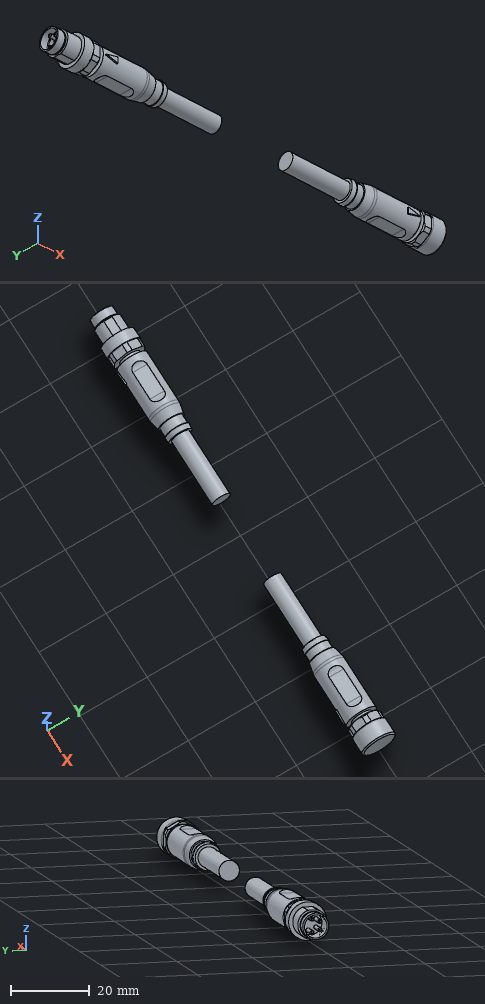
import cadquery as cq
import math

overall_length = 135.5

grip_diameter = 10.0
hex_across_flats = 9.1
hex_corner_diameter = 9.8
neck_diameter = 6.0

nose_end = 3.0
nose_diameter = 6.9
nose_groove_width = 0.4
nose_groove_diameter = 6.5
sleeve_diameter = 7.9
sleeve_across_flats = 7.5
plug_grip_start = 7.9
plug_grip_end = 11.1
plug_hex_end = 13.7
plug_mould_start = 14.9
plug_cable_end = 58.4
plug_waist_length = 2.8

bore_diameter = 6.0
bore_depth = 5.0
pin_diameter = 1.1
pin_tip_chamfer = 0.3
pin_tip_setback = 0.8
pin_places = [(0.7, 1.8), (0.7, -1.8), (-1.4, 1.1), (-1.4, -1.1)]

socket_grip_length = 5.1
socket_hex_end = 7.7
socket_mould_start = 8.8
socket_cable_end = 52.2
socket_waist_length = 2.5
socket_face_chamfer = 0.4
socket_grip_fillet = 0.3
socket_hex_chamfer = 0.4

body_diameter = 9.1
body_length = 15.5
shoulder_round_length = 0.8
shoulder_round_drop = 0.08
shoulder_length = 3.7
shoulder_end_diameter = 7.7
waist_diameter = 6.9
collar_length = 1.6
collar_diameter = 7.5
collar_end_diameter = 6.9
cable_diameter = 5.4

recess_start = 2.0
recess_length = 11.9
recess_ramp = 1.8
recess_floor_gap = 8.0

arrow_tip = 0.7
arrow_length = 4.0
arrow_half_width = 1.0
arrow_height = 0.4


def rod(start, end, diameter):
    """Cylinder on the X axis between two X positions."""
    return cq.Workplane("YZ", origin=(start, 0, 0)).circle(diameter / 2).extrude(end - start)


def hexagon(start, end):
    """Hexagon with flats facing +Y and -Y, its corners turned to a cylinder."""
    sharp_corner_diameter = hex_across_flats / math.cos(math.pi / 6)
    prism = (
        cq.Workplane("YZ", origin=(start, 0, 0))
        .polygon(6, sharp_corner_diameter)
        .extrude(end - start)
        .rotate((0, 0, 0), (1, 0, 0), 90)
    )
    return prism.intersect(rod(start, end, hex_corner_diameter))


def grip_recess():
    """Cutter for the top recess: a flat floor that curves up to the surface at each end."""
    end = recess_start + recess_length
    floor = recess_floor_gap / 2
    surface = body_diameter / 2
    rise = surface - floor
    ramp_radius = (recess_ramp**2 + rise**2) / (2 * rise)
    return (
        cq.Workplane("XZ")
        .moveTo(end, surface)
        .lineTo(recess_start, surface)
        .radiusArc((recess_start + recess_ramp, floor), -ramp_radius)
        .lineTo(end - recess_ramp, floor)
        .radiusArc((end, surface), -ramp_radius)
        .close()
        .extrude(surface, both=True)
    )


def arrowhead():
    """Triangle standing proud of the -Y side, pointing at the mating face."""
    base = arrow_tip + arrow_length
    return (
        cq.Workplane("XZ")
        .polyline([(arrow_tip, 0), (base, arrow_half_width), (base, -arrow_half_width)])
        .close()
        .extrude(body_diameter / 2 + arrow_height)
    )


def overmould(waist_length):
    """Moulded handle starting at X = 0, with the cable side towards +X."""
    body_radius = body_diameter / 2
    waist_radius = waist_diameter / 2
    round_end = body_length + shoulder_round_length
    shoulder_end = body_length + shoulder_length
    waist_end = shoulder_end + waist_length
    collar_end = waist_end + collar_length
    handle = (
        cq.Workplane("XY")
        .lineTo(0, body_radius)
        .lineTo(body_length, body_radius)
        .tangentArcPoint((round_end, body_radius - shoulder_round_drop), relative=False)
        .lineTo(shoulder_end, shoulder_end_diameter / 2)
        .lineTo(shoulder_end, waist_radius)
        .lineTo(waist_end, waist_radius)
        .lineTo(waist_end, collar_diameter / 2)
        .lineTo(collar_end, collar_end_diameter / 2)
        .lineTo(collar_end, 0)
        .close()
        .revolve(360, (0, 0, 0), (1, 0, 0))
    )
    top_recess = grip_recess()
    bottom_recess = top_recess.mirror("XY")
    return handle.cut(top_recess).cut(bottom_recess).union(arrowhead())


def plug_shell():
    """Nose with its bore and groove, and the sleeve with flats on top and bottom."""
    groove_start = nose_end - nose_groove_width
    flats = cq.Workplane("XY").box(2 * plug_grip_start, sleeve_diameter, sleeve_across_flats)
    sleeve = rod(nose_end, plug_grip_start, sleeve_diameter).intersect(flats)
    return (
        rod(0, groove_start, nose_diameter)
        .union(rod(groove_start, nose_end, nose_groove_diameter))
        .union(sleeve)
        .cut(rod(0, bore_depth, bore_diameter))
    )


def contact_pins():
    """Four pins with chamfered tips, standing on the floor of the bore."""
    return (
        cq.Workplane("YZ", origin=(pin_tip_setback, 0, 0))
        .pushPoints(pin_places)
        .circle(pin_diameter / 2)
        .extrude(bore_depth - pin_tip_setback)
        .faces("<X")
        .chamfer(pin_tip_chamfer)
    )


def plug():
    """Male connector with its nut, overmould and cable stub."""
    return (
        plug_shell()
        .union(rod(plug_grip_start, plug_grip_end, grip_diameter))
        .union(hexagon(plug_grip_end, plug_hex_end))
        .union(rod(plug_hex_end, plug_mould_start, neck_diameter))
        .union(overmould(plug_waist_length).translate((plug_mould_start, 0, 0)))
        .union(rod(plug_mould_start, plug_cable_end, cable_diameter))
        .union(contact_pins())
    )


def socket():
    """Female connector with its nut, overmould and cable stub."""
    face = overall_length
    grip_start = face - socket_grip_length
    hex_start = face - socket_hex_end
    mould_start = face - socket_mould_start
    grip = (
        rod(grip_start, face, grip_diameter)
        .faces(">X")
        .chamfer(socket_face_chamfer)
        .faces("<X")
        .edges()
        .fillet(socket_grip_fillet)
    )
    hex_turning = rod(hex_start, grip_start, hex_corner_diameter).faces("<X").chamfer(socket_hex_chamfer)
    return (
        grip.union(hexagon(hex_start, grip_start).intersect(hex_turning))
        .union(rod(mould_start, hex_start, neck_diameter))
        .union(overmould(socket_waist_length).mirror("YZ").translate((mould_start, 0, 0)))
        .union(rod(face - socket_cable_end, mould_start, cable_diameter))
    )


result = cq.Compound.makeCompound([plug().val(), socket().val()])